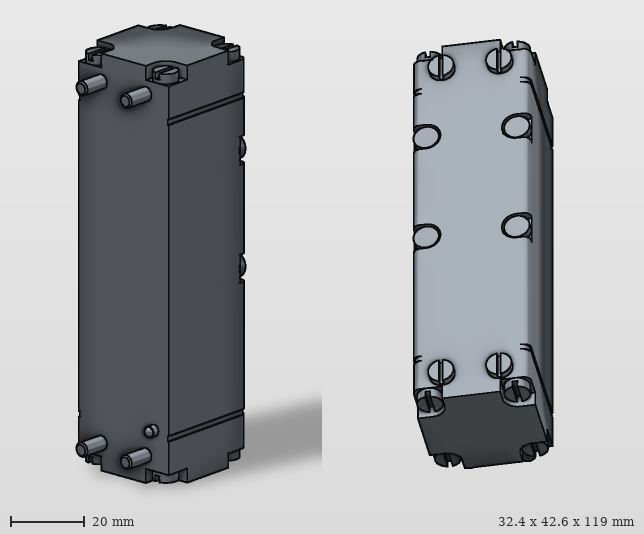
import cadquery as cq

LENGTH = 119.0
WIDTH = 32.4
DEPTH = 32.1
HALF_LENGTH = LENGTH / 2
FRONT = -DEPTH / 2
BACK = DEPTH / 2

CAP_HEIGHT = 13.6
GROOVE_HEIGHT = 1.5
GROOVE_DEPTH = 0.4
CAP_EDGE_RADIUS = 2.1
BODY_EDGE_RADIUS = 1.9

HEAD_DIAMETER = 7.0
POCKET_RADIUS = 4.0

CAP_SCREW_X = 12.0
CAP_SCREW_Y = 12.5
CAP_POCKET_DEPTH = 4.0
CAP_HEAD_HEIGHT = 2.9
CAP_SLOT_WIDTH = 1.4
CAP_SLOT_DEPTH = 1.8

SIDE_SCREW_X = 12.5
SIDE_SCREW_Z = (29.6, -4.0)
SIDE_POCKET_DEPTH = 2.9
SIDE_HEAD_HEIGHT = 2.5

MOUNT_X = 8.0
MOUNT_Z = 51.5
MOUNT_HEAD_HEIGHT = 2.0
MOUNT_SLOT_WIDTH = 1.1
MOUNT_SLOT_DEPTH = 1.4
ROD_DIAMETER = 4.0
ROD_REACH = 8.5
ROD_CHAMFER = 0.5

PIN_X = 11.0
PIN_Z = -43.8
PIN_DIAMETER = 3.2
PIN_REACH = 3.1
PIN_TIP_DIAMETER = 2.9
PIN_TIP_LENGTH = 1.1
PIN_TIP_RADIUS = 1.1


def block(width, edge_radius, z_bottom, z_top):
    """Full-depth block with its two back vertical edges rounded."""
    return (
        cq.Workplane("XY", origin=(0, 0, z_bottom))
        .rect(width, DEPTH)
        .extrude(z_top - z_bottom)
        .edges("|Z and >Y")
        .fillet(edge_radius)
    )


def screw_head(height, slot_width=0, slot_depth=0):
    """Head standing on the XY plane, with an optional slot along Y."""
    head = cq.Workplane("XY").circle(HEAD_DIAMETER / 2).extrude(height)
    if slot_depth:
        slot = (
            cq.Workplane("XY", origin=(0, 0, height - slot_depth))
            .rect(slot_width, HEAD_DIAMETER)
            .extrude(slot_depth)
        )
        head = head.cut(slot)
    return head


def facing_back(shape):
    """Turn a shape standing along +Z so that it stands along +Y."""
    return shape.rotate((0, 0, 0), (1, 0, 0), -90)


def both_sides(shape):
    return shape.union(shape.mirror("YZ"))


def four_corners(shape, second_plane):
    """Copy a shape from the positive corner to all four corners."""
    pair = both_sides(shape)
    return pair.union(pair.mirror(second_plane))


def make_block():
    groove_start = HALF_LENGTH - CAP_HEIGHT
    body_end = groove_start - GROOVE_HEIGHT
    core = block(WIDTH - 2 * GROOVE_DEPTH, CAP_EDGE_RADIUS, -groove_start, groove_start)
    body = block(WIDTH, BODY_EDGE_RADIUS, -body_end, body_end)
    cap = block(WIDTH, CAP_EDGE_RADIUS, groove_start, HALF_LENGTH)
    return core.union(body).union(cap).union(cap.mirror("XY"))


def cap_pocket():
    """Corner pocket at the +X, +Y corner of the top, rounded around the screw."""
    x_inner = CAP_SCREW_X - POCKET_RADIUS
    y_inner = CAP_SCREW_Y - POCKET_RADIUS
    return (
        cq.Workplane("XY", origin=(0, 0, HALF_LENGTH - CAP_POCKET_DEPTH))
        .rect(WIDTH / 2 - x_inner, BACK - y_inner, centered=False)
        .extrude(CAP_POCKET_DEPTH)
        .edges("|Z and <X and <Y")
        .fillet(POCKET_RADIUS)
        .translate((x_inner, y_inner, 0))
    )


def add_cap_screws(part):
    pockets = four_corners(cap_pocket(), "XZ")
    head = screw_head(CAP_HEAD_HEIGHT, CAP_SLOT_WIDTH, CAP_SLOT_DEPTH)
    head = head.translate((CAP_SCREW_X, CAP_SCREW_Y, HALF_LENGTH - CAP_POCKET_DEPTH))
    heads = four_corners(head, "XZ")
    part = part.cut(pockets).cut(pockets.mirror("XY"))
    return part.union(heads).union(heads.mirror("XY"))


def add_side_screws(part):
    floor = BACK - SIDE_POCKET_DEPTH
    for z in SIDE_SCREW_Z:
        pocket = (
            cq.Workplane("XY")
            .circle(POCKET_RADIUS)
            .extrude(SIDE_POCKET_DEPTH)
            .union(
                cq.Workplane("XY")
                .rect(2 * POCKET_RADIUS, 2 * POCKET_RADIUS)
                .extrude(SIDE_POCKET_DEPTH)
                .translate((POCKET_RADIUS, 0, 0))
            )
        )
        place = (SIDE_SCREW_X, floor, z)
        part = part.cut(both_sides(facing_back(pocket).translate(place)))
        head = facing_back(screw_head(SIDE_HEAD_HEIGHT)).translate(place)
        part = part.union(both_sides(head))
    return part


def add_mounting_screws(part):
    head = screw_head(MOUNT_HEAD_HEIGHT, MOUNT_SLOT_WIDTH, MOUNT_SLOT_DEPTH)
    head = facing_back(head).translate((MOUNT_X, BACK, MOUNT_Z))
    rod = (
        cq.Workplane("XZ", origin=(MOUNT_X, FRONT, MOUNT_Z))
        .circle(ROD_DIAMETER / 2)
        .extrude(ROD_REACH)
        .faces("<Y")
        .chamfer(ROD_CHAMFER)
    )
    return part.union(four_corners(head, "XY")).union(four_corners(rod, "XY"))


def add_locating_pin(part):
    shank = (
        cq.Workplane("XZ", origin=(PIN_X, FRONT, PIN_Z))
        .circle(PIN_DIAMETER / 2)
        .extrude(PIN_REACH - PIN_TIP_LENGTH)
    )
    tip = (
        cq.Workplane("XZ", origin=(PIN_X, FRONT, PIN_Z))
        .circle(PIN_TIP_DIAMETER / 2)
        .extrude(PIN_REACH)
        .faces("<Y")
        .edges()
        .fillet(PIN_TIP_RADIUS)
    )
    return part.union(shank).union(tip)


result = make_block()
result = add_cap_screws(result)
result = add_side_screws(result)
result = add_mounting_screws(result)
result = add_locating_pin(result)